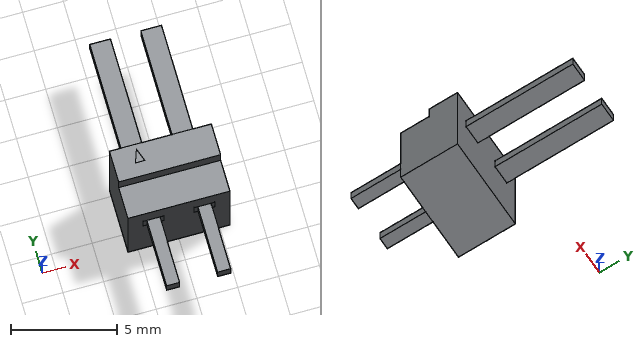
import cadquery as cq

housing_width = 5.0
housing_depth = 3.2
housing_height = 5.6
step_depth = housing_depth / 2
step_height = 0.8

pin_count = 2
pin_pitch = 2.5
pin_axis_height = 3.48
pin_thickness = 0.64
shank_width = 1.02
post_width = pin_thickness
rear_pin_length = 6.0
front_pin_length = 3.4

marker_width = 0.46
marker_length = 0.65
marker_rear_gap = 0.25
marker_thickness = 0.1

front_y = -housing_depth
pin_positions = [(i - (pin_count - 1) / 2) * pin_pitch for i in range(pin_count)]


def make_bar(x, width, y_front, y_rear):
    """Rectangular bar along Y, centred on the pin axis at x."""
    length = y_rear - y_front
    centre = (x, (y_front + y_rear) / 2, pin_axis_height)
    return cq.Workplane("XY").box(width, length, pin_thickness).translate(centre)


def make_pin(x):
    """One contact pin: wide shank from the rear tip to the front face, then the post."""
    shank = make_bar(x, shank_width, front_y, rear_pin_length)
    post = make_bar(x, post_width, front_y - front_pin_length, front_y)
    return shank.union(post)


def make_marker():
    """Triangular marker on the axis of the first pin, its top level with the step."""
    x = pin_positions[0]
    apex_y = -marker_rear_gap
    base_y = apex_y - marker_length
    return (
        cq.Workplane("XY", origin=(0, 0, housing_height - marker_thickness))
        .moveTo(x - marker_width / 2, base_y)
        .lineTo(x + marker_width / 2, base_y)
        .lineTo(x, apex_y)
        .close()
        .extrude(marker_thickness)
    )


def make_housing():
    """Stepped block with matching cavities for the pins and the marker."""
    ledge_height = housing_height - step_height
    block = (
        cq.Workplane("YZ", origin=(-housing_width / 2, 0, 0))
        .moveTo(0, 0)
        .lineTo(0, housing_height)
        .lineTo(-step_depth, housing_height)
        .lineTo(-step_depth, ledge_height)
        .lineTo(front_y, ledge_height)
        .lineTo(front_y, 0)
        .close()
        .extrude(housing_width)
    )
    for x in pin_positions:
        block = block.cut(make_bar(x, shank_width, front_y, 0))
    return block.cut(make_marker())


housing = make_housing()
pins = [make_pin(x) for x in pin_positions]
marker = make_marker()

result = cq.Compound.makeCompound([housing.val(), *[pin.val() for pin in pins], marker.val()])